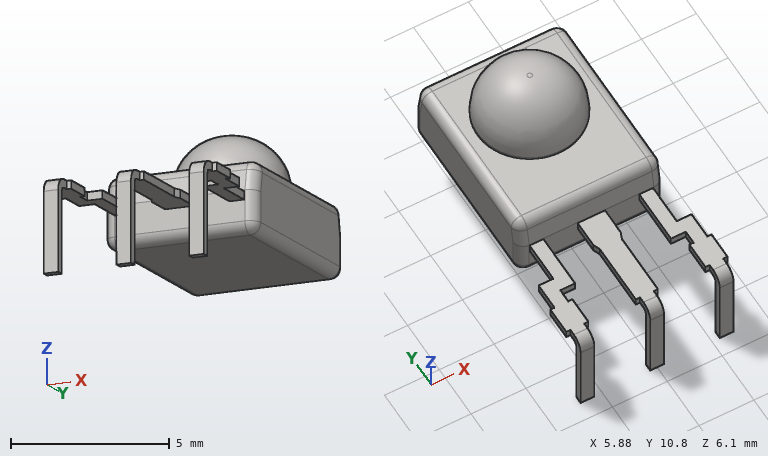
import cadquery as cq
import math


LEAD_SPAN = 5.88
LEAD_REACH = 4.15
LEG_DROP = 1.8

HOUSING_WIDTH = 5.3
HOUSING_DEPTH = 6.6
HOUSING_HEIGHT = 2.4
DRAFT_HEIGHT = 1.0
DRAFT_ANGLE = 10
EDGE_RADIUS = 0.38

DOME_DIAMETER = 3.8
DOME_HEIGHT = 1.9
DOME_FLAT_RADIUS = 0.09
DOME_CENTRE_Y = 3.9

LEAD_THICKNESS = 0.28
LEAD_WIDTH = 0.5
LEAD_TOP_Z = 1.34
BEND_RADIUS = 0.44

PAD_WIDTH = 0.81
PAD_START = 2.49
PAD_END = 3.5
JOG_START = 1.49
ROOT_OFFSET = 2.0
CENTRE_ROOT_WIDTH = 1.0
CENTRE_ROOT_LENGTH = 1.0
CENTRE_TAPER_LENGTH = 0.24

LEAD_PITCH = (LEAD_SPAN - PAD_WIDTH) / 2
LEAD_HALF = LEAD_WIDTH / 2
PAD_HALF = PAD_WIDTH / 2
LEAD_BOTTOM_Z = LEAD_TOP_Z - LEAD_THICKNESS
SHOULDER_Z = HOUSING_HEIGHT - DRAFT_HEIGHT
DRAFT_LEAN = DRAFT_HEIGHT * math.tan(math.radians(DRAFT_ANGLE))


def make_housing():
    """Block with drafted upper ends, every outer edge rounded except the shoulder lines."""
    block = (
        cq.Workplane("YZ")
        .polyline([
            (0, 0),
            (HOUSING_DEPTH, 0),
            (HOUSING_DEPTH, SHOULDER_Z),
            (HOUSING_DEPTH - DRAFT_LEAN, HOUSING_HEIGHT),
            (DRAFT_LEAN, HOUSING_HEIGHT),
            (0, SHOULDER_Z),
        ])
        .close()
        .extrude(HOUSING_WIDTH / 2, both=True)
    )
    long_edges = block.edges("|X")
    shoulder_lines = long_edges.edges(cq.selectors.NearestToPointSelector((0, 0, SHOULDER_Z))).vals()
    shoulder_lines += long_edges.edges(
        cq.selectors.NearestToPointSelector((0, HOUSING_DEPTH, SHOULDER_Z))
    ).vals()
    rounded_edges = [
        edge for edge in block.edges().vals()
        if not any(edge.isSame(line) for line in shoulder_lines)
    ]
    return block.newObject(rounded_edges).fillet(EDGE_RADIUS)


def make_leg(x):
    """Narrow end of a lead: runs forward from the pad, bends down and drops to the tip."""
    inner_radius = BEND_RADIUS - LEAD_THICKNESS
    bend_y = BEND_RADIUS - LEAD_REACH
    bend_z = LEAD_TOP_Z - BEND_RADIUS
    diagonal = math.sqrt(0.5)
    return (
        cq.Workplane("YZ", origin=(x, 0, 0))
        .moveTo(-PAD_END, LEAD_TOP_Z)
        .lineTo(bend_y, LEAD_TOP_Z)
        .threePointArc(
            (bend_y - BEND_RADIUS * diagonal, bend_z + BEND_RADIUS * diagonal),
            (bend_y - BEND_RADIUS, bend_z),
        )
        .lineTo(-LEAD_REACH, -LEG_DROP)
        .lineTo(LEAD_THICKNESS - LEAD_REACH, -LEG_DROP)
        .lineTo(LEAD_THICKNESS - LEAD_REACH, bend_z)
        .threePointArc(
            (bend_y - inner_radius * diagonal, bend_z + inner_radius * diagonal),
            (bend_y, LEAD_BOTTOM_Z),
        )
        .lineTo(-PAD_END, LEAD_BOTTOM_Z)
        .close()
        .extrude(LEAD_HALF, both=True)
    )


def make_flat(outline):
    """Flat part of a lead from its (x, y) outline."""
    return (
        cq.Workplane("XY", origin=(0, 0, LEAD_BOTTOM_Z))
        .polyline(outline)
        .close()
        .extrude(LEAD_THICKNESS)
    )


def make_outer_lead(side):
    """Outer lead that steps outward to the full pitch; side is -1 or 1."""
    jog_end = JOG_START + LEAD_WIDTH
    outline = [
        (ROOT_OFFSET - LEAD_HALF, 0),
        (ROOT_OFFSET + LEAD_HALF, 0),
        (ROOT_OFFSET + LEAD_HALF, -JOG_START),
        (LEAD_PITCH + LEAD_HALF, -JOG_START),
        (LEAD_PITCH + LEAD_HALF, -PAD_START),
        (LEAD_PITCH + PAD_HALF, -PAD_START),
        (LEAD_PITCH + PAD_HALF, -PAD_END),
        (LEAD_PITCH - PAD_HALF, -PAD_END),
        (LEAD_PITCH - PAD_HALF, -PAD_START),
        (LEAD_PITCH - LEAD_HALF, -PAD_START),
        (LEAD_PITCH - LEAD_HALF, -jog_end),
        (ROOT_OFFSET - LEAD_HALF, -jog_end),
    ]
    flat = make_flat([(side * x, y) for x, y in outline])
    return flat.union(make_leg(side * LEAD_PITCH))


def make_centre_lead():
    """Straight lead with a wide root that tapers to the pad width."""
    root_half = CENTRE_ROOT_WIDTH / 2
    taper_end = CENTRE_ROOT_LENGTH + CENTRE_TAPER_LENGTH
    flat = make_flat([
        (-root_half, 0),
        (root_half, 0),
        (root_half, -CENTRE_ROOT_LENGTH),
        (PAD_HALF, -taper_end),
        (PAD_HALF, -PAD_END),
        (-PAD_HALF, -PAD_END),
        (-PAD_HALF, -taper_end),
        (-root_half, -CENTRE_ROOT_LENGTH),
    ])
    return flat.union(make_leg(0))


def make_package():
    """Housing and its three leads as one solid."""
    package = make_housing().union(make_centre_lead())
    for side in (-1, 1):
        package = package.union(make_outer_lead(side))
    return package


def make_dome():
    """Lens dome standing on the housing top face."""
    radius = DOME_DIAMETER / 2
    return (
        cq.Workplane("XY", origin=(0, DOME_CENTRE_Y, HOUSING_HEIGHT))
        .circle(radius)
        .extrude(DOME_HEIGHT)
        .faces(">Z")
        .edges()
        .fillet(radius - DOME_FLAT_RADIUS)
    )


package = make_package()
dome = make_dome()

result = cq.Compound.makeCompound([package.val(), dome.val()])